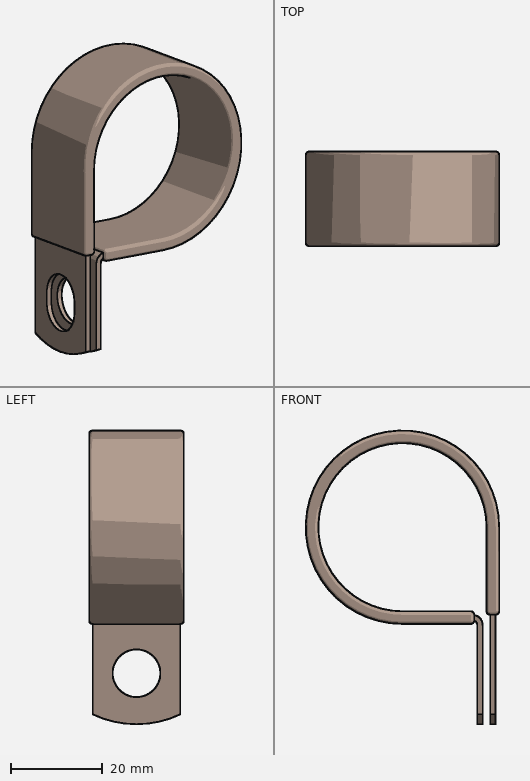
import cadquery as cq
import math

bore_radius = 18.254
strap_thickness = 1.214
strap_width = 19.05
cushion_thickness = 0.794
tab_gap = 1.588
bend_inner_radius = 1.016
hole_diameter = 10.32
slot_length = 12.7
hole_z = -31.75
tab_bottom_z = -42.855
tab_end_radius = 22.225

strap_inner_radius = bore_radius + cushion_thickness
strap_outer_radius = strap_inner_radius + strap_thickness
outer_radius = strap_outer_radius + cushion_thickness
cushion_width = strap_width + 2 * cushion_thickness
near_tab_outer_x = strap_inner_radius - tab_gap
near_tab_inner_x = near_tab_outer_x - strap_thickness
bend_outer_radius = bend_inner_radius + strap_thickness
bend_start_x = near_tab_inner_x - bend_inner_radius
lower_leg_end_x = near_tab_inner_x - strap_thickness / 2
bend_center_z = -strap_outer_radius - bend_inner_radius
side_leg_end_z = -strap_inner_radius
strap_overlap = strap_thickness


def make_cushion():
    """Three-quarter loop with two tangent legs, rounded on all its outer edges."""
    diagonal = math.sqrt(0.5)
    body = (
        cq.Workplane("XZ")
        .moveTo(lower_leg_end_x, -outer_radius)
        .lineTo(0, -outer_radius)
        .threePointArc((-outer_radius * diagonal, outer_radius * diagonal), (outer_radius, 0))
        .lineTo(outer_radius, side_leg_end_z)
        .lineTo(bore_radius, side_leg_end_z)
        .lineTo(bore_radius, 0)
        .threePointArc((-bore_radius * diagonal, bore_radius * diagonal), (0, -bore_radius))
        .lineTo(lower_leg_end_x, -bore_radius)
        .close()
        .extrude(cushion_width / 2, both=True)
    )
    side_edges = body.faces("<Y or >Y").edges()
    lower_leg_end = body.faces(cq.selectors.NearestToPointSelector(
        (lower_leg_end_x, 0, -(bore_radius + outer_radius) / 2)))
    side_leg_end = body.faces(cq.selectors.NearestToPointSelector(
        ((bore_radius + outer_radius) / 2, 0, side_leg_end_z)))
    end_edges = lower_leg_end.add(side_leg_end).edges("|Y")
    return side_edges.add(end_edges).fillet(cushion_thickness)


def make_side_strap():
    """Straight strap that continues the side leg down into the far tab."""
    return (
        cq.Workplane("XZ")
        .moveTo(strap_inner_radius, side_leg_end_z + strap_overlap)
        .lineTo(strap_outer_radius, side_leg_end_z + strap_overlap)
        .lineTo(strap_outer_radius, tab_bottom_z)
        .lineTo(strap_inner_radius, tab_bottom_z)
        .close()
        .extrude(strap_width / 2, both=True)
    )


def make_lower_strap():
    """Strap that leaves the lower leg and bends down into the near tab."""
    return (
        cq.Workplane("XZ")
        .moveTo(bend_start_x - strap_overlap, -strap_inner_radius)
        .lineTo(bend_start_x, -strap_inner_radius)
        .radiusArc((near_tab_outer_x, bend_center_z), bend_outer_radius)
        .lineTo(near_tab_outer_x, tab_bottom_z)
        .lineTo(near_tab_inner_x, tab_bottom_z)
        .lineTo(near_tab_inner_x, bend_center_z)
        .radiusArc((bend_start_x, -strap_outer_radius), -bend_inner_radius)
        .lineTo(bend_start_x - strap_overlap, -strap_outer_radius)
        .close()
        .extrude(strap_width / 2, both=True)
    )


def make_tab_outline():
    """Solid along X with the arched lower end shared by both tabs."""
    half_width = strap_width / 2
    arch_height = tab_end_radius - math.sqrt(tab_end_radius ** 2 - half_width ** 2)
    corner_z = tab_bottom_z + arch_height
    return (
        cq.Workplane("YZ")
        .moveTo(-half_width, 0)
        .lineTo(-half_width, corner_z)
        .threePointArc((0, tab_bottom_z), (half_width, corner_z))
        .lineTo(half_width, 0)
        .close()
        .extrude(outer_radius)
    )


def make_bolt_hole():
    """Cutter along X for the round hole of the near tab."""
    return cq.Workplane("YZ").center(0, hole_z).circle(hole_diameter / 2).extrude(outer_radius)


def make_bolt_slot():
    """Cutter along X for the upright slot of the far tab."""
    return cq.Workplane("YZ").center(0, hole_z).slot2D(slot_length, hole_diameter, 90).extrude(outer_radius)


tab_outline = make_tab_outline()
near_strap = make_lower_strap().intersect(tab_outline).cut(make_bolt_hole())
far_strap = make_side_strap().intersect(tab_outline).cut(make_bolt_slot())
result = make_cushion().union(near_strap).union(far_strap)